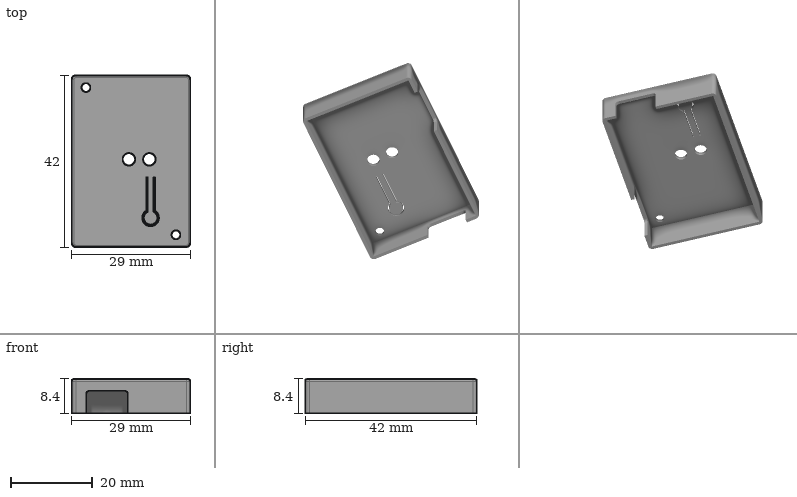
import cadquery as cq

LENGTH_X = 29.0
LENGTH_Y = 42.0
HEIGHT = 8.4
WALL = 0.8
TOP_THICKNESS = 1.0
CORNER_RADIUS = 1.0
TOP_EDGE_RADIUS = 0.5

OPENING_RADIUS = 0.8
FRONT_OPENING_WIDTH = 10.2
FRONT_OPENING_HEIGHT = 5.5
FRONT_OPENING_X = -5.85
SIDE_OPENING_WIDTH = 11.5
SIDE_OPENING_HEIGHT = 5.6
SIDE_OPENING_Y = 10.75

SCREW_DIAMETER = 2.1
SCREW_X = 11.0
SCREW_Y = 18.0

WINDOW_DIAMETER = 3.0
WINDOW_Y = 0.45
WINDOW_XS = (-0.5, 4.5)

BUTTON_X = 4.8
BUTTON_Y = -13.85
BUTTON_OUTER_DIAMETER = 4.0
BUTTON_PAD_DIAMETER = 3.4
TONGUE_WIDTH = 1.45
TONGUE_GAP = 0.3
TONGUE_ROOT_Y = -3.95


def make_shell():
    """Box with rounded corners and top edge, hollowed from below."""
    outer = (
        cq.Workplane("XY")
        .box(LENGTH_X, LENGTH_Y, HEIGHT, centered=(True, True, False))
        .edges("|Z")
        .fillet(CORNER_RADIUS)
        .faces(">Z")
        .edges()
        .fillet(TOP_EDGE_RADIUS)
    )
    cavity = cq.Workplane("XY").box(
        LENGTH_X - 2 * WALL,
        LENGTH_Y - 2 * WALL,
        HEIGHT - TOP_THICKNESS,
        centered=(True, True, False),
    )
    return outer.cut(cavity)


def wall_opening(size_x, size_y, height, center, rounded_edges):
    """Cutter standing on the bottom plane, with its two chosen edges rounded at the top."""
    return (
        cq.Workplane("XY")
        .box(size_x, size_y, height, centered=(True, True, False))
        .faces(">Z")
        .edges(rounded_edges)
        .fillet(OPENING_RADIUS)
        .translate(center)
    )


def top_holes(diameter, points):
    """Round cutters through the top at the given points."""
    return cq.Workplane("XY").pushPoints(points).circle(diameter / 2).extrude(HEIGHT)


def keyhole(round_diameter, stem_width):
    """Disc at the button with a stem reaching to the root of the tongue."""
    stem_length = TONGUE_ROOT_Y - BUTTON_Y
    disc = top_holes(round_diameter, [(BUTTON_X, BUTTON_Y)])
    stem = (
        cq.Workplane("XY")
        .center(BUTTON_X, BUTTON_Y + stem_length / 2)
        .rect(stem_width, stem_length)
        .extrude(HEIGHT)
    )
    return disc.union(stem)


def button_gap():
    """Narrow gap around the pad and along both sides of the tongue."""
    surround = keyhole(BUTTON_OUTER_DIAMETER, TONGUE_WIDTH + 2 * TONGUE_GAP)
    return surround.cut(keyhole(BUTTON_PAD_DIAMETER, TONGUE_WIDTH))


opening_depth = 4 * WALL
front_opening = wall_opening(
    FRONT_OPENING_WIDTH,
    opening_depth,
    FRONT_OPENING_HEIGHT,
    (FRONT_OPENING_X, -LENGTH_Y / 2, 0),
    "|Y",
)
side_opening = wall_opening(
    opening_depth,
    SIDE_OPENING_WIDTH,
    SIDE_OPENING_HEIGHT,
    (-LENGTH_X / 2, SIDE_OPENING_Y, 0),
    "|X",
)
screw_holes = top_holes(SCREW_DIAMETER, [(-SCREW_X, SCREW_Y), (SCREW_X, -SCREW_Y)])
windows = top_holes(WINDOW_DIAMETER, [(x, WINDOW_Y) for x in WINDOW_XS])

result = make_shell()
for cutter in (front_opening, side_opening, screw_holes, windows, button_gap()):
    result = result.cut(cutter)